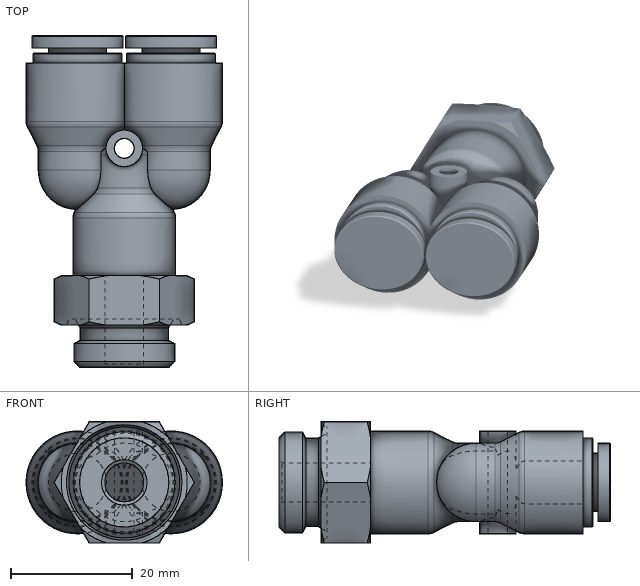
import cadquery as cq
import math

total_length = 54.6
hex_front = 6.95
hex_back = 15.05
branch_end = 50.05
collar_end = 51.7
flange_start = 52.5

thread_diameter = 16.65
thread_chamfer = 1.0
thread_end = 4.4
thread_back = 3.9
neck_diameter = 14.6
neck_flare_start = 6.5
hex_across_flats = 20.0
hex_chamfer_diameter = 20.75
hex_chamfer_angle = 25.0
groove_outer_diameter = 19.0
groove_floor_diameter = 18.25
groove_depth = 1.0
neck_flare_angle = 30.0
bore_diameter = 6.4
bore_mouth_diameter = 7.5

tube_diameter = 16.9
waist_diameter = 12.95
waist_radius = waist_diameter / 2
taper_length = 3.95
taper_blend_radius = 2.0
stem_taper_start = 25.05
stem_edge_start = 34.95
stem_edge_radius = 1.0
branch_taper_start = 39.95
branch_dome_centre = 32.45
branch_offset = 7.7
eyelet_diameter = 6.0
eyelet_hole_diameter = 3.2
eyelet_y = 36.05

collar_diameter = 14.7
collar_edge_chamfer = 0.15
sleeve_neck_diameter = 9.6
flange_width = 15.0
flange_height = 12.95
flange_edge_chamfer = 0.15


def cylinder(diameter, start, end, x):
    """Cylinder along Y between two stations, with its axis at the given X."""
    return cq.Workplane("XZ", origin=(x, start, 0)).circle(diameter / 2).extrude(start - end)


def revolve_about_y(profile):
    """Revolve an XY profile, with its radius along X, about the Y axis."""
    return profile.revolve(360, (0, 0, 0), (0, 1, 0))


def waisted_tube(open_end, taper_start, edge_start, edge_radius):
    """Tube that tapers to a waist and ends in a rounded edge; it may run along +Y or -Y.

    An edge radius equal to the waist radius gives a hemispherical end.
    """
    direction = math.copysign(1, edge_start - open_end)
    tube_radius = tube_diameter / 2
    waist_start = taper_start + direction * taper_length
    edge_drop = edge_radius * (1 - math.sqrt(0.5))
    edge_rise = edge_radius * math.sqrt(0.5)

    taper_angle = math.atan2(tube_radius - waist_radius, taper_length)
    tangent = taper_blend_radius * math.tan(taper_angle / 2)
    far_along = tangent * math.cos(taper_angle)
    far_across = tangent * math.sin(taper_angle)
    middle_along = tangent - taper_blend_radius * math.sin(taper_angle / 2)
    middle_across = taper_blend_radius * (1 - math.cos(taper_angle / 2))

    profile = (
        cq.Workplane("XY")
        .moveTo(0, open_end)
        .lineTo(tube_radius, open_end)
        .lineTo(tube_radius, taper_start - direction * tangent)
        .threePointArc(
            (tube_radius - middle_across, taper_start - direction * middle_along),
            (tube_radius - far_across, taper_start + direction * far_along),
        )
        .lineTo(waist_radius + far_across, waist_start - direction * far_along)
        .threePointArc(
            (waist_radius + middle_across, waist_start + direction * middle_along),
            (waist_radius, waist_start + direction * tangent),
        )
        .lineTo(waist_radius, edge_start)
        .threePointArc(
            (waist_radius - edge_drop, edge_start + direction * edge_rise),
            (waist_radius - edge_radius, edge_start + direction * edge_radius),
        )
    )
    if edge_radius < waist_radius:
        profile = profile.lineTo(0, edge_start + direction * edge_radius)
    return revolve_about_y(profile.close())


def make_housing():
    """Stem and two parallel branches joined in a Y, with an eyelet through the crotch."""
    stem = waisted_tube(hex_back, stem_taper_start, stem_edge_start, stem_edge_radius)
    branch = waisted_tube(branch_end, branch_taper_start, branch_dome_centre, waist_radius)
    eyelet_base = cq.Workplane("XY", origin=(0, eyelet_y, -tube_diameter / 2))
    body = stem.union(eyelet_base.circle(eyelet_diameter / 2).extrude(tube_diameter))
    for side in (-1, 1):
        body = body.union(branch.translate((side * branch_offset, 0, 0)))
    return body.cut(eyelet_base.circle(eyelet_hole_diameter / 2).extrude(tube_diameter))


def make_hexagon():
    """Hexagon with flats on top and bottom, its corners chamfered by a cone at each end."""
    corner_diameter = hex_across_flats / math.cos(math.pi / 6)
    prism = (
        cq.Workplane("XZ", origin=(0, hex_front, 0))
        .polygon(6, corner_diameter)
        .extrude(hex_front - hex_back)
    )
    chamfer_radius = hex_chamfer_diameter / 2
    outer_radius = corner_diameter / 2
    chamfer_depth = (outer_radius - chamfer_radius) * math.tan(math.radians(hex_chamfer_angle))
    envelope = revolve_about_y(
        cq.Workplane("XY").polyline([
            (0, hex_front),
            (chamfer_radius, hex_front),
            (outer_radius, hex_front + chamfer_depth),
            (outer_radius, hex_back - chamfer_depth),
            (chamfer_radius, hex_back),
            (0, hex_back),
        ]).close()
    )
    return prism.intersect(envelope)


def make_adapter():
    """Hexagon with a threaded spigot, a seal groove around its neck and a through bore."""
    thread_radius = thread_diameter / 2
    neck_radius = neck_diameter / 2
    groove_floor = hex_front + groove_depth
    flare_length = groove_floor - neck_flare_start
    flared_radius = neck_radius + flare_length * math.tan(math.radians(neck_flare_angle))
    spigot = revolve_about_y(
        cq.Workplane("XY").polyline([
            (0, 0),
            (thread_radius - thread_chamfer, 0),
            (thread_radius, thread_chamfer),
            (thread_radius, thread_back),
            (neck_radius, thread_end),
            (neck_radius, neck_flare_start),
            (flared_radius, groove_floor),
            (0, groove_floor),
        ]).close()
    )
    groove = revolve_about_y(
        cq.Workplane("XY").polyline([
            (0, hex_front),
            (groove_outer_diameter / 2, hex_front),
            (groove_floor_diameter / 2, groove_floor),
            (0, groove_floor),
        ]).close()
    )
    mouth_chamfer = (bore_mouth_diameter - bore_diameter) / 2
    bore = revolve_about_y(
        cq.Workplane("XY").polyline([
            (0, 0),
            (bore_mouth_diameter / 2, 0),
            (bore_diameter / 2, mouth_chamfer),
            (bore_diameter / 2, hex_back),
            (0, hex_back),
        ]).close()
    )
    return make_hexagon().cut(groove).union(spigot).cut(bore)


def make_collar(x):
    """Round collar seated on the end of a branch, chamfered at its outer edge."""
    collar = cylinder(collar_diameter, branch_end, collar_end, x)
    return collar.faces(">Y").edges().chamfer(collar_edge_chamfer)


def make_release_sleeve(x):
    """Round neck standing on the collar, with an oval push flange at its end."""
    neck = cylinder(sleeve_neck_diameter, collar_end, flange_start, x)
    flange = (
        cq.Workplane("XZ", origin=(x, flange_start, 0))
        .ellipse(flange_width / 2, flange_height / 2)
        .extrude(flange_start - total_length)
        .faces(">Y")
        .edges()
        .chamfer(flange_edge_chamfer)
    )
    return neck.union(flange)


housing = make_housing()
adapter = make_adapter()
branch_positions = (-branch_offset, branch_offset)
collars = [make_collar(x).val() for x in branch_positions]
release_sleeves = [make_release_sleeve(x).val() for x in branch_positions]

result = cq.Compound.makeCompound([housing.val(), adapter.val(), *collars, *release_sleeves])